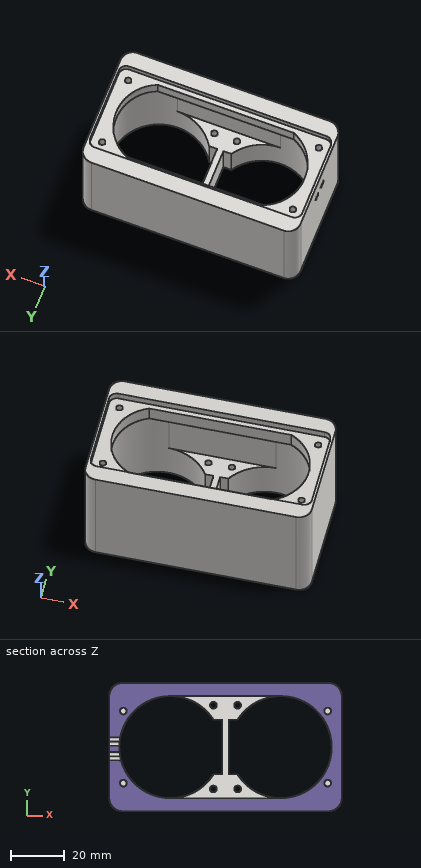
import cadquery as cq

LENGTH = 87.0
WIDTH = 48.0
HEIGHT = 44.0
CORNER_RADIUS = 5.0

RECESS_LENGTH = 85.0
RECESS_WIDTH = 35.5
RECESS_DEPTH = 3.0
RECESS_RADIUS = 3.0

RIM_THICKNESS = 6.0
OPENING_WIDTH = 31.6
OPENING_RADIUS = 17.1

BORE_OFFSET = 20.6
BORE_RADIUS = 19.05
FLOOR_HEIGHT = 15.0

WEB_THICKNESS = 2.5
NOTCH_WIDTH = 20.3

SCREW_DIAMETER = 2.4
LID_SCREW_X = 38.2
LID_SCREW_Y = 13.5
LID_SCREW_DEPTH = 10.0
FLOOR_SCREW_X = 4.5
FLOOR_SCREW_Y = 15.7

WIRE_DIAMETER = 1.5
WIRE_PITCH = 1.6
WIRE_PAIR_CENTERS_Y = (2.1, -3.4)
WIRE_Z = 33.0

recess_floor = HEIGHT - RECESS_DEPTH
cavity_top = recess_floor - RIM_THICKNESS


def rounded_block(length, width, height, radius, base):
    block = cq.Workplane("XY").workplane(offset=base).box(length, width, height, centered=(True, True, False))
    return block.edges("|Z").fillet(radius)


def plain_block(length, width, bottom, top):
    plane = cq.Workplane("XY").workplane(offset=bottom)
    return plane.rect(length, width).extrude(top - bottom)


def round_columns(points, radius, bottom, top):
    plane = cq.Workplane("XY").workplane(offset=bottom)
    return plane.pushPoints(points).circle(radius).extrude(top - bottom)


def four_corners(x, y):
    return [(x, y), (x, -y), (-x, y), (-x, -y)]


def rim_opening():
    """Two circles joined by a straight stretch, with flat long sides."""
    middle = plain_block(2 * BORE_OFFSET, OPENING_WIDTH, cavity_top, recess_floor)
    ends = round_columns(bore_centers, OPENING_RADIUS, cavity_top, recess_floor)
    limit = plain_block(LENGTH, OPENING_WIDTH, cavity_top, recess_floor)
    return middle.union(ends.intersect(limit))


def speaker_cavity():
    """Through bores and the straight-sided space between them above the floor."""
    bores = round_columns(bore_centers, BORE_RADIUS, 0, cavity_top)
    middle = plain_block(2 * BORE_OFFSET, 2 * BORE_RADIUS, FLOOR_HEIGHT, cavity_top)
    return bores.union(middle)


def web_notches():
    """Rectangles from each bore centre to the near face of the web."""
    notch_length = BORE_OFFSET - WEB_THICKNESS / 2
    notch_center = (BORE_OFFSET + WEB_THICKNESS / 2) / 2
    plane = cq.Workplane("XY").pushPoints([(-notch_center, 0), (notch_center, 0)])
    return plane.rect(notch_length, NOTCH_WIDTH).extrude(FLOOR_HEIGHT)


def wire_holes():
    """Holes along X from the outer -X face into the nearest bore."""
    points = []
    for center_y in WIRE_PAIR_CENTERS_Y:
        for side in (-1, 1):
            points.append((center_y + side * WIRE_PITCH / 2, WIRE_Z))
    plane = cq.Workplane("YZ").workplane(offset=-LENGTH / 2).pushPoints(points)
    return plane.circle(WIRE_DIAMETER / 2).extrude(LENGTH / 2 - BORE_OFFSET)


bore_centers = [(-BORE_OFFSET, 0), (BORE_OFFSET, 0)]
lid_screws = four_corners(LID_SCREW_X, LID_SCREW_Y)
floor_screws = four_corners(FLOOR_SCREW_X, FLOOR_SCREW_Y)
screw_radius = SCREW_DIAMETER / 2

result = rounded_block(LENGTH, WIDTH, HEIGHT, CORNER_RADIUS, 0)
result = result.cut(rounded_block(RECESS_LENGTH, RECESS_WIDTH, RECESS_DEPTH, RECESS_RADIUS, recess_floor))
result = result.cut(rim_opening())
result = result.cut(speaker_cavity())
result = result.cut(web_notches())
result = result.cut(round_columns(lid_screws, screw_radius, recess_floor - LID_SCREW_DEPTH, recess_floor))
result = result.cut(round_columns(floor_screws, screw_radius, 0, FLOOR_HEIGHT))
result = result.cut(wire_holes())